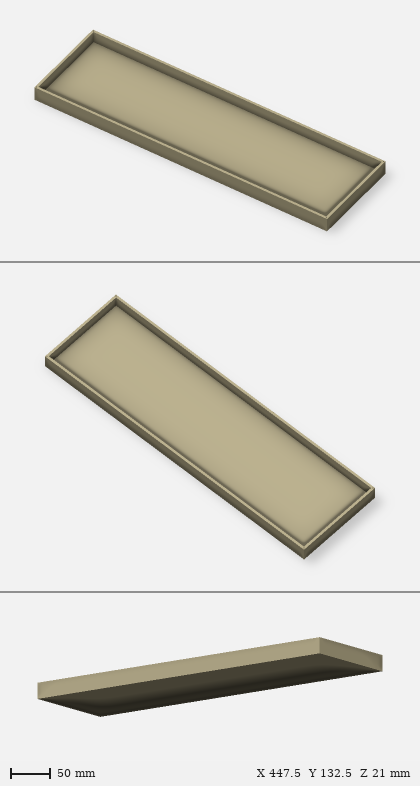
import cadquery as cq

length = 447.5
width = 132.5
height = 21.0

wall = 3.5
floor = 4.0

hole_diameter = 1.55
hole_inset = 1.92
hole_depth = height - floor

block = cq.Workplane("XY").box(length, width, height, centered=(True, True, False))

cavity = (
    cq.Workplane("XY")
    .workplane(offset=floor)
    .box(length - 2 * wall, width - 2 * wall, height - floor, centered=(True, True, False))
)

corner_holes = (
    cq.Workplane("XY")
    .workplane(offset=height - hole_depth)
    .rect(length - 2 * hole_inset, width - 2 * hole_inset, forConstruction=True)
    .vertices()
    .circle(hole_diameter / 2)
    .extrude(hole_depth)
)

result = block.cut(cavity).cut(corner_holes)